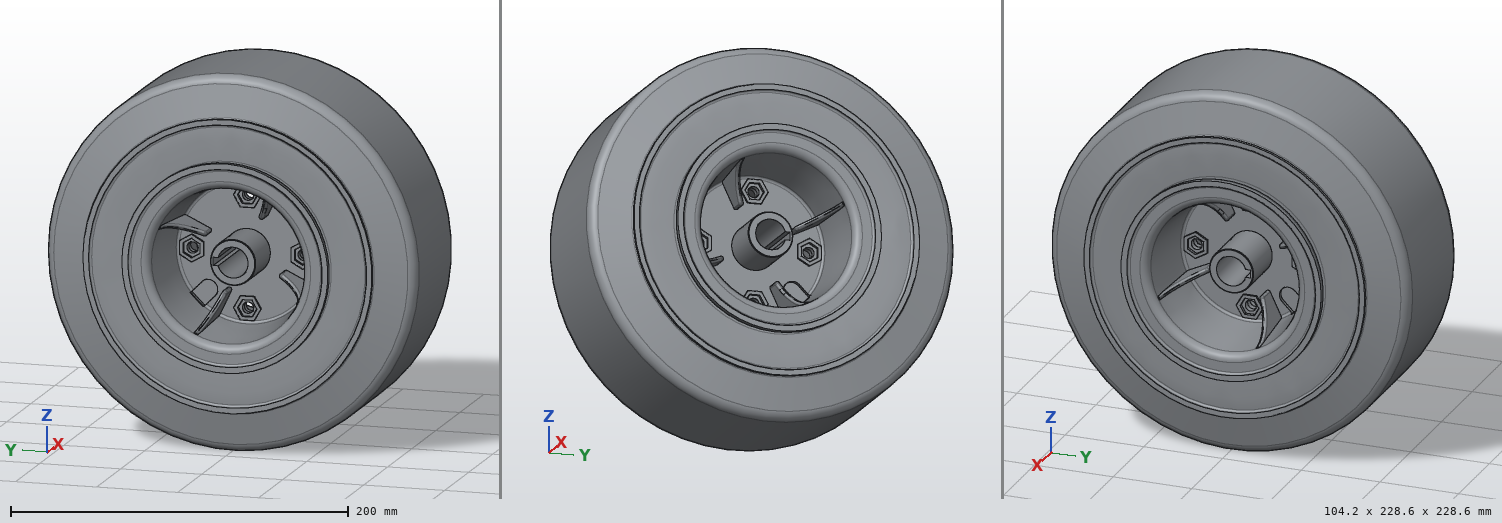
import cadquery as cq
import math

tyre_radius = 114.3
tread_half_width = 33.1
shoulder_radius = 6.6
sidewall_angle = 14.5
sidewall_foot_radius = 89.8
bead_x = 46.9
bead_outer_radius = 89.2
bead_inner_radius = 85.7
bead_foot_x = 45.0
bead_step = 2.0
bead_root_fillet = 1.4
bulge_inner_radius = 63.5
bulge_height = 0.7
tyre_side_x = bead_x - bead_step

half_width = 52.1
drum_outer_radius = 51.5
drum_mouth_radius = 47.3
drum_floor_radius = 43.7
floor_fillet = 1.5
lip_fillet = 5.0
web_thickness = 4.5
flange_radius = 63.5
flange_edge_x = 49.5
flange_back_fillet = flange_edge_x - tyre_side_x
flange_ring_inner_radius = 60.0
face_recess = 2.0
face_root_fillet = 1.4
lip_face_x = half_width - face_recess

bolt_count = 4
bolt_circle_radius = 34.3
bolt_hole_diameter = 6.9
boss_across_flats = 14.6
boss_height = 1.4
nut_across_flats = 10.3
nut_pocket_depth = 2.0

rib_count = 4
rib_angle = 25.5
rib_width = 3.0
rib_round = 1.4
rib_inner_radius = 25.0
rib_inner_x = 14.9
rib_outer_x = 44.3
rib_outer_radius = 46.6
rib_sag = 3.5

valve_angle = 315.0
valve_radius = 34.3
valve_width = 11.5
valve_outer_radius = 44.0
valve_pocket_depth = 2.3

hub_radius = 14.0
hub_half_length = 35.5
bore_radius = 9.4
keyway_width = 5.0
keyway_reach = 12.1
hub_chamfer = 0.5

AXLE_START = (0, 0, 0)
AXLE_END = (1, 0, 0)


def revolve_about_axle(profile):
    """Revolve a closed profile, drawn with X along the axle and Y as radius."""
    return profile.close().revolve(360, AXLE_START, AXLE_END)


def around_axle(shape, angle):
    """Turn a shape about the axle; from +Y towards +Z is positive."""
    return shape.rotate(AXLE_START, AXLE_END, angle)


def fillet_middle(centre_x, centre_r, radius, x_side, r_side):
    """Middle point of a quarter-circle fillet; the sides (+1 or -1) tell which quarter."""
    reach = radius * math.sqrt(0.5)
    return (centre_x + x_side * reach, centre_r + r_side * reach)


def side_profile_plane(x):
    """Sketch plane facing +X with local x along Y and local y along Z."""
    return cq.Workplane("YZ", origin=(x, 0, 0))


def make_tyre():
    slope = math.radians(sidewall_angle)
    middle_angle = (slope + math.pi / 2) / 2
    shoulder_centre_r = tyre_radius - shoulder_radius

    def shoulder_point(angle):
        return (
            tread_half_width + shoulder_radius * math.cos(angle),
            shoulder_centre_r + shoulder_radius * math.sin(angle),
        )

    sidewall_top_x, sidewall_top_r = shoulder_point(slope)
    sidewall_foot_x = sidewall_top_x + (sidewall_top_r - sidewall_foot_radius) * math.tan(slope)
    bulge_outer_radius = bead_inner_radius - bead_root_fillet
    root_x = tyre_side_x + bead_root_fillet
    bulge_middle = (tyre_side_x + bulge_height, (bulge_outer_radius + bulge_inner_radius) / 2)
    side_profile = (
        cq.Workplane("XY")
        .moveTo(tread_half_width, drum_outer_radius)
        .lineTo(tyre_side_x, drum_outer_radius)
        .lineTo(tyre_side_x, bulge_inner_radius)
        .threePointArc(bulge_middle, (tyre_side_x, bulge_outer_radius))
        .threePointArc(
            fillet_middle(root_x, bulge_outer_radius, bead_root_fillet, -1, 1),
            (root_x, bead_inner_radius),
        )
        .lineTo(bead_x, bead_inner_radius)
        .lineTo(bead_x, bead_outer_radius)
        .lineTo(bead_foot_x, bead_outer_radius)
        .lineTo(sidewall_foot_x, sidewall_foot_radius)
        .lineTo(sidewall_top_x, sidewall_top_r)
        .threePointArc(shoulder_point(middle_angle), (tread_half_width, tyre_radius))
    )
    side = revolve_about_axle(side_profile)
    tread = (
        side_profile_plane(-tread_half_width)
        .circle(tyre_radius)
        .circle(drum_outer_radius)
        .extrude(2 * tread_half_width)
    )
    return tread.union(side).union(side.mirror("YZ"))


def make_rim_shell():
    floor_fillet_x = web_thickness + floor_fillet
    floor_fillet_r = drum_floor_radius - floor_fillet
    lip_fillet_x = lip_face_x - lip_fillet
    lip_fillet_r = drum_mouth_radius + lip_fillet
    face_root_x = lip_face_x + face_root_fillet
    face_root_r = flange_ring_inner_radius - face_root_fillet
    flange_back_r = flange_radius - flange_back_fillet
    profile = (
        cq.Workplane("XY")
        .moveTo(0, hub_radius)
        .lineTo(web_thickness, hub_radius)
        .lineTo(web_thickness, floor_fillet_r)
        .threePointArc(
            fillet_middle(floor_fillet_x, floor_fillet_r, floor_fillet, -1, 1),
            (floor_fillet_x, drum_floor_radius),
        )
        .lineTo(lip_fillet_x, drum_mouth_radius)
        .threePointArc(
            fillet_middle(lip_fillet_x, lip_fillet_r, lip_fillet, 1, -1),
            (lip_face_x, lip_fillet_r),
        )
        .lineTo(lip_face_x, face_root_r)
        .threePointArc(
            fillet_middle(face_root_x, face_root_r, face_root_fillet, -1, 1),
            (face_root_x, flange_ring_inner_radius),
        )
        .lineTo(half_width, flange_ring_inner_radius)
        .lineTo(half_width, flange_radius)
        .lineTo(flange_edge_x, flange_radius)
        .threePointArc(
            fillet_middle(flange_edge_x, flange_back_r, flange_back_fillet, -1, 1),
            (tyre_side_x, flange_back_r),
        )
        .lineTo(tyre_side_x, drum_outer_radius)
        .lineTo(0, drum_outer_radius)
    )
    return revolve_about_axle(profile)


def hexagon(x, across_flats, height):
    """Hexagonal prism on the bolt circle, with a flat facing the axle."""
    corner_diameter = across_flats / math.cos(math.pi / 6)
    prism = side_profile_plane(x).polygon(6, corner_diameter).extrude(height)
    return around_axle(prism, 30).translate((0, bolt_circle_radius, 0))


def make_rib():
    """Gusset along +Y with a hollow upper edge, rounded on top and at its inner end."""
    rib_start_x = web_thickness / 2
    rib_root_radius = (drum_mouth_radius + drum_outer_radius) / 2
    edge_middle = (
        (rib_inner_x + rib_outer_x) / 2 - rib_sag,
        (rib_inner_radius + rib_outer_radius) / 2 + rib_sag,
    )
    gusset = (
        cq.Workplane("XY")
        .workplane(offset=-rib_width / 2)
        .moveTo(rib_start_x, rib_inner_radius)
        .lineTo(rib_inner_x, rib_inner_radius)
        .threePointArc(edge_middle, (rib_outer_x, rib_outer_radius))
        .lineTo(rib_outer_x, rib_root_radius)
        .lineTo(rib_start_x, rib_root_radius)
        .close()
        .extrude(rib_width)
    )
    round_ended = gusset.edges("|X and <Y").fillet(rib_round)
    return round_ended.faces("<Z or >Z").edges("%CIRCLE").fillet(rib_round)


def make_valve_pocket():
    pocket = (
        side_profile_plane(web_thickness - valve_pocket_depth)
        .moveTo(valve_outer_radius, -valve_width / 2)
        .lineTo(valve_outer_radius, valve_width / 2)
        .lineTo(valve_radius, valve_width / 2)
        .threePointArc((valve_radius - valve_width / 2, 0), (valve_radius, -valve_width / 2))
        .close()
        .extrude(valve_pocket_depth + floor_fillet)
    )
    return around_axle(pocket, valve_angle)


def make_rim_half():
    """Rim half on the +X side of the middle plane."""
    rim = make_rim_shell()
    rib = make_rib()
    for i in range(rib_count):
        rim = rim.union(around_axle(rib, rib_angle + i * 360 / rib_count))

    boss_top_x = web_thickness + boss_height
    boss = hexagon(web_thickness / 2, boss_across_flats, boss_top_x - web_thickness / 2)
    nut_pocket = hexagon(boss_top_x - nut_pocket_depth, nut_across_flats, nut_pocket_depth)
    bolt_hole = (
        side_profile_plane(0)
        .center(bolt_circle_radius, 0)
        .circle(bolt_hole_diameter / 2)
        .extrude(boss_top_x)
    )
    for i in range(bolt_count):
        angle = i * 360 / bolt_count
        rim = rim.union(around_axle(boss, angle))
        rim = rim.cut(around_axle(nut_pocket.union(bolt_hole), angle))

    return rim.cut(make_valve_pocket())


def make_hub():
    """Sleeve through both rim halves, with a keyway on the +Y side of its bore."""
    hub_length = 2 * hub_half_length
    barrel = side_profile_plane(-hub_half_length).circle(hub_radius).extrude(hub_length)
    bore = side_profile_plane(-hub_half_length).circle(bore_radius).extrude(hub_length)
    hub = barrel.edges().chamfer(hub_chamfer).cut(bore)
    keyway = cq.Workplane("XY").box(hub_length, keyway_reach, keyway_width)
    return hub.cut(keyway.translate((0, keyway_reach / 2, 0)))


tyre = make_tyre()
right_rim = make_rim_half()
left_rim = right_rim.mirror("YZ")
hub = make_hub()

result = cq.Compound.makeCompound([tyre.val(), right_rim.val(), left_rim.val(), hub.val()])